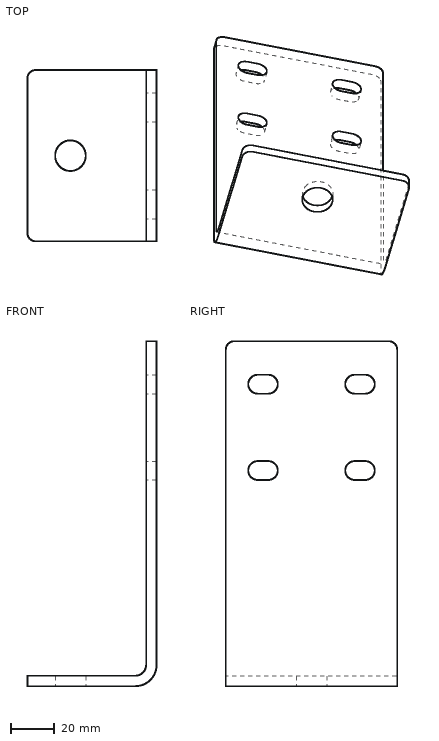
import cadquery as cq

depth = 60.0
width = 79.5
height = 160.0
thickness = 5.0
inner_bend_radius = 5.0
outer_bend_radius = inner_bend_radius + thickness
corner_radius = 4.0

foot_hole_diameter = 14.0
foot_hole_from_front = 20.0

slot_length = 13.6
slot_height = 8.6
slot_spacing_y = 45.0
slot_spacing_z = 40.0
top_slot_from_top = 20.0


def bent_plate():
    """L-shaped strip, with the foot on the XY plane and the upright at maximum X."""
    profile = (
        cq.Workplane("XZ")
        .moveTo(0, 0)
        .lineTo(depth, 0)
        .lineTo(depth, height)
        .lineTo(depth - thickness, height)
        .lineTo(depth - thickness, thickness)
        .lineTo(0, thickness)
        .close()
    )
    plate = profile.extrude(width / 2, both=True)
    inner_corner = cq.selectors.NearestToPointSelector((depth - thickness, 0, thickness))
    outer_corner = cq.selectors.NearestToPointSelector((depth, 0, 0))
    plate = plate.edges(inner_corner).fillet(inner_bend_radius)
    return plate.edges(outer_corner).fillet(outer_bend_radius)


def round_free_corners(plate):
    """Round the two corners of the foot and the two at the top of the upright."""
    plate = plate.faces("<X").edges("|Z").fillet(corner_radius)
    return plate.faces(">Z").edges("|X").fillet(corner_radius)


def foot_hole():
    return (
        cq.Workplane("XY")
        .center(foot_hole_from_front, 0)
        .circle(foot_hole_diameter / 2)
        .extrude(thickness)
    )


def upright_slots():
    slot_centre_z = height - top_slot_from_top - slot_spacing_z / 2
    return (
        cq.Workplane("YZ", origin=(depth - thickness, 0, slot_centre_z))
        .rarray(slot_spacing_y, slot_spacing_z, 2, 2)
        .slot2D(slot_length, slot_height)
        .extrude(thickness)
    )


result = round_free_corners(bent_plate()).cut(foot_hole()).cut(upright_slots())